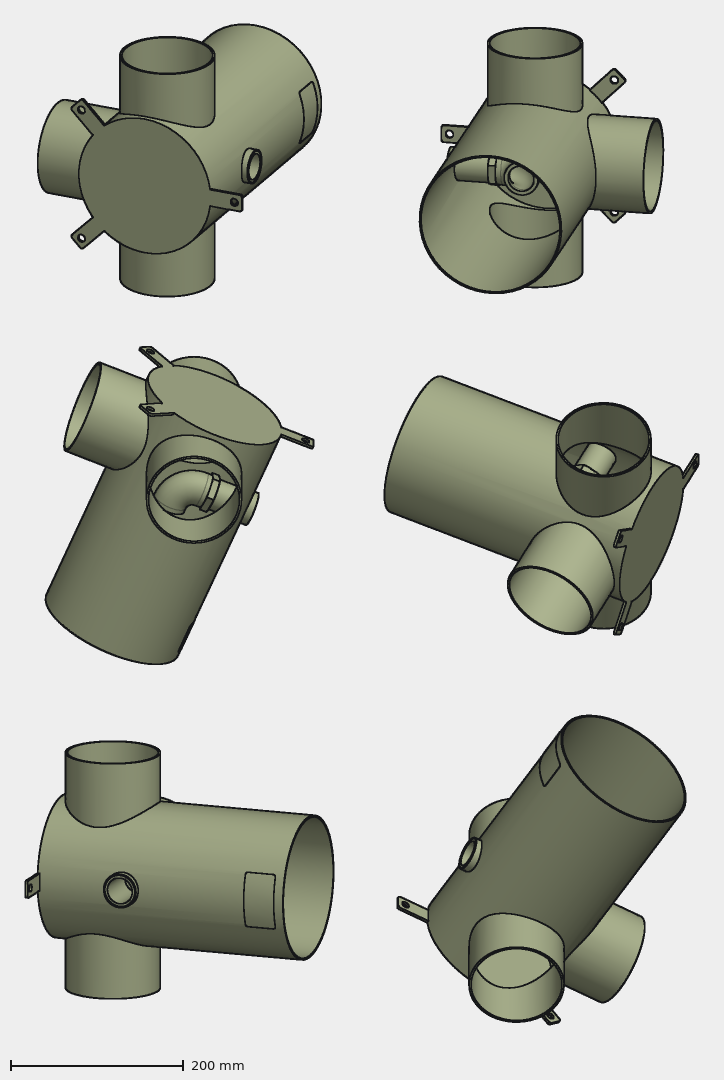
import cadquery as cq
import math

tube_length = 303.0
tube_diameter = 168.2
tube_bore = 164.2
plate_thickness = 3.0

branch_diameter = 110.0
branch_bore = 105.0
branch_reach = 140.0
branch_y = 61.8
branch_directions = [(0, 0, 1), (0, 0, -1), (-1, 0, 0)]

tab_reach = 124.0
tab_width = 20.5
tab_corner_radius = 3.0
tab_hole_diameter = 9.0
tab_hole_radius = 114.2
tab_angles = [0, 135, 225]

label_width = 64.8
label_height = 37.0
label_corner_radius = 3.0
label_thickness = 0.3
label_y = 273.3

outlet_y = 104.5
boss_diameter = 40.0
boss_reach = 91.2
outlet_bore = 30.5

stub_diameter = 37.0
hex_start = 33.3
hex_thickness = 9.0
hex_across_flats = 40.0
hex_face_circle = 41.5
hex_turn = -7.0
hex_chamfer_angle = 20.0

elbow_diameter = 40.0
elbow_bend_radius = 27.3
elbow_straight = hex_start - elbow_bend_radius

hex_end = hex_start + hex_thickness


def rod(diameter, length, start, direction):
    """Solid cylinder from a start point along a direction."""
    solid = cq.Solid.makeCylinder(diameter / 2, length, cq.Vector(*start), cq.Vector(*direction))
    return cq.Workplane(obj=solid)


def outlet_rod(diameter, x_from, x_to):
    """Solid cylinder on the outlet axis between two X positions."""
    return rod(diameter, x_to - x_from, (x_from, outlet_y, 0), (1, 0, 0))


def make_tab(angle):
    """One drilled mounting tab, reaching out from the plate centre."""
    tab = (
        cq.Workplane("XY")
        .box(tab_reach, tab_width, plate_thickness, centered=(False, True, False))
        .edges("|Z and >X")
        .fillet(tab_corner_radius)
    )
    hole = rod(tab_hole_diameter, plate_thickness, (tab_hole_radius, 0, 0), (0, 0, 1))
    tab = tab.cut(hole).rotate((0, 0, 0), (1, 0, 0), -90)
    return tab.rotate((0, 0, 0), (0, 1, 0), -angle)


def make_label():
    """Rounded rectangle curved to the outside of the tube."""
    block = (
        cq.Workplane("YZ")
        .center(label_y, 0)
        .rect(label_height, label_width)
        .extrude(tube_diameter)
        .edges("|X")
        .fillet(label_corner_radius)
    )
    outer = rod(tube_diameter + 2 * label_thickness, tube_length, (0, 0, 0), (0, 1, 0))
    return block.intersect(outer)


def make_housing():
    """Tube, end plate, tabs, branch pipes, label and outlet boss as one welded body."""
    body = rod(tube_diameter, tube_length, (0, 0, 0), (0, 1, 0))
    for direction in branch_directions:
        body = body.union(rod(branch_diameter, branch_reach, (0, branch_y, 0), direction))
    body = body.union(outlet_rod(boss_diameter, 0, boss_reach))
    body = body.union(make_label())
    for angle in tab_angles:
        body = body.union(make_tab(angle))

    tube_cavity_length = tube_length - plate_thickness
    body = body.cut(rod(tube_bore, tube_cavity_length, (0, plate_thickness, 0), (0, 1, 0)))
    for direction in branch_directions:
        body = body.cut(rod(branch_bore, branch_reach, (0, branch_y, 0), direction))
    return body.cut(outlet_rod(stub_diameter, 0, boss_reach))


def make_connector():
    """Bored hexagon with a round stub that passes through the tube wall into the boss."""
    hexagon = (
        cq.Workplane("YZ", origin=(hex_start, outlet_y, 0))
        .transformed(rotate=(0, 0, hex_turn))
        .polygon(6, hex_across_flats, circumscribed=True)
        .extrude(hex_thickness)
    )
    cone_base_radius = hex_face_circle / 2 + hex_thickness / math.tan(math.radians(hex_chamfer_angle))
    cone = cq.Solid.makeCone(
        cone_base_radius,
        hex_face_circle / 2,
        hex_thickness,
        cq.Vector(hex_start, outlet_y, 0),
        cq.Vector(1, 0, 0),
    )
    hexagon = hexagon.intersect(cq.Workplane(obj=cone))
    stub = outlet_rod(stub_diameter, hex_end, boss_reach)
    return hexagon.union(stub).cut(outlet_rod(outlet_bore, hex_start, boss_reach))


def make_elbow():
    """Quarter-turn pipe from the hexagon face round to the tube axis, ending toward +Y."""
    bend_end_y = outlet_y + elbow_bend_radius
    bend_offset = elbow_bend_radius * (1 - math.sqrt(0.5))
    path = (
        cq.Workplane("XY")
        .moveTo(hex_start, outlet_y)
        .lineTo(elbow_bend_radius, outlet_y)
        .threePointArc((bend_offset, outlet_y + bend_offset), (0, bend_end_y))
        .lineTo(0, bend_end_y + elbow_straight)
    )
    return (
        cq.Workplane("YZ", origin=(hex_start, outlet_y, 0))
        .circle(elbow_diameter / 2)
        .circle(outlet_bore / 2)
        .sweep(path)
    )


housing = make_housing()
connector = make_connector()
elbow = make_elbow()

result = cq.Compound.makeCompound([housing.val(), connector.val(), elbow.val()])